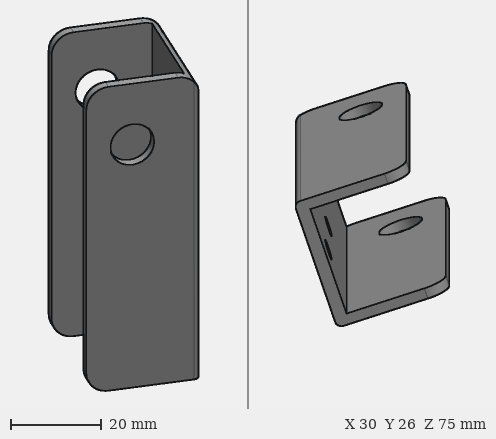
import cadquery as cq

width = 30.0
depth = 26.0
height = 75.0
wall = 2.5
web_thickness = 3.0
bend_radius = 1.5
corner_radius = 5.0

pin_diameter = 10.0
pin_from_front = 10.5
pin_height = 60.0

mount_diameter = 4.5
mount_heights = (10.0, 30.0)


def make_channel():
    """U-shaped channel with rounded outer bends and flange corners."""
    block = cq.Workplane("XY").box(width, depth, height, centered=(True, False, False))
    block = block.edges("|Z and >Y").fillet(bend_radius)
    inside = cq.Workplane("XY").box(
        width - 2 * wall, depth - web_thickness, height, centered=(True, False, False)
    )
    return block.cut(inside).intersect(make_side_profile())


def make_side_profile():
    """Side outline swept across the width; only the lower back corner is square."""
    profile = cq.Workplane("XY").box(width, depth, height, centered=(True, False, False))
    profile = profile.edges("|X and <Y").fillet(corner_radius)
    return profile.edges("|X and >Y and >Z").fillet(corner_radius)


def make_pin_hole():
    return (
        cq.Workplane("YZ", origin=(-width / 2, 0, 0))
        .center(pin_from_front, pin_height)
        .circle(pin_diameter / 2)
        .extrude(width)
    )


def make_mount_holes():
    return (
        cq.Workplane("XZ", origin=(0, depth, 0))
        .pushPoints([(0, z) for z in mount_heights])
        .circle(mount_diameter / 2)
        .extrude(depth)
    )


result = make_channel().cut(make_pin_hole()).cut(make_mount_holes())